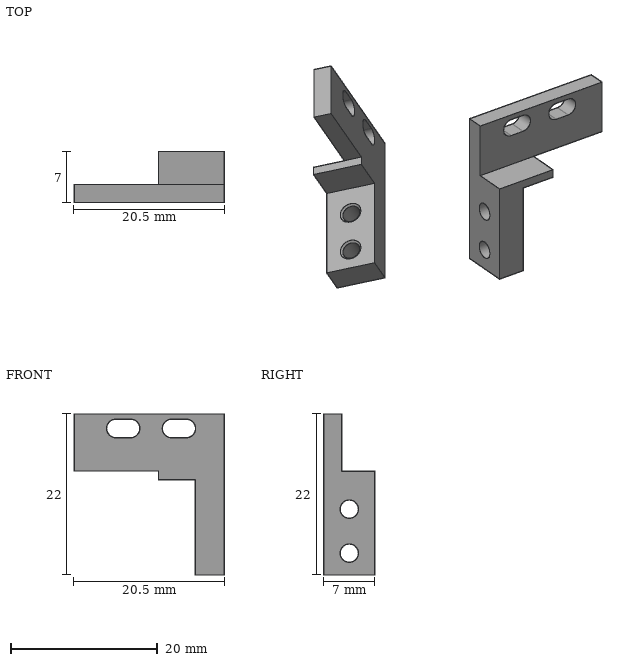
import cadquery as cq

LENGTH = 20.5
DEPTH = 7.0
HEIGHT = 22.0

PLATE_THICKNESS = 2.5
PLATE_HEIGHT = 7.8
BLOCK_WIDTH = 9.0
STEP_DEPTH = 1.2
LEG_WIDTH = 4.0

SLOT_LENGTH = 4.5
SLOT_HEIGHT = 2.5
SLOT_DROP = 2.0
SLOT_CENTRES_X = (6.7, 14.3)

HOLE_DIAMETER = 2.46
COUNTERSINK_DIAMETER = 3.0
HOLE_HEIGHTS = (3.0, 9.0)

PLATE_BOTTOM = HEIGHT - PLATE_HEIGHT
STEP_BOTTOM = PLATE_BOTTOM - STEP_DEPTH
BLOCK_LEFT = LENGTH - BLOCK_WIDTH
LEG_LEFT = LENGTH - LEG_WIDTH
COUNTERSINK_DEPTH = (COUNTERSINK_DIAMETER - HOLE_DIAMETER) / 2


def make_plate():
    """Thin upright plate along the front face."""
    size = (LENGTH, PLATE_THICKNESS, PLATE_HEIGHT)
    return cq.Workplane("XY").box(*size, centered=False).translate((0, 0, PLATE_BOTTOM))


def make_leg():
    """Full-depth L-shaped block: a short step at the top and a leg below it."""
    outline = [
        (BLOCK_LEFT, PLATE_BOTTOM),
        (LENGTH, PLATE_BOTTOM),
        (LENGTH, 0),
        (LEG_LEFT, 0),
        (LEG_LEFT, STEP_BOTTOM),
        (BLOCK_LEFT, STEP_BOTTOM),
    ]
    return cq.Workplane("XZ").polyline(outline).close().extrude(-DEPTH)


def make_slots():
    """Round-ended cutters through the plate thickness."""
    centres = [(x, HEIGHT - SLOT_DROP) for x in SLOT_CENTRES_X]
    return (
        cq.Workplane("XZ")
        .pushPoints(centres)
        .slot2D(SLOT_LENGTH, SLOT_HEIGHT)
        .extrude(-PLATE_THICKNESS)
    )


def make_leg_hole(height):
    """Through-hole cutter with a 45 degree countersink on the inner leg face."""
    axis = cq.Vector(1, 0, 0)
    start = cq.Vector(LEG_LEFT, DEPTH / 2, height)
    bore = cq.Solid.makeCylinder(HOLE_DIAMETER / 2, LEG_WIDTH, start, axis)
    countersink = cq.Solid.makeCone(
        COUNTERSINK_DIAMETER / 2, HOLE_DIAMETER / 2, COUNTERSINK_DEPTH, start, axis
    )
    return bore.fuse(countersink)


result = make_plate().union(make_leg()).cut(make_slots())
for hole_height in HOLE_HEIGHTS:
    result = result.cut(cq.Workplane(make_leg_hole(hole_height)))